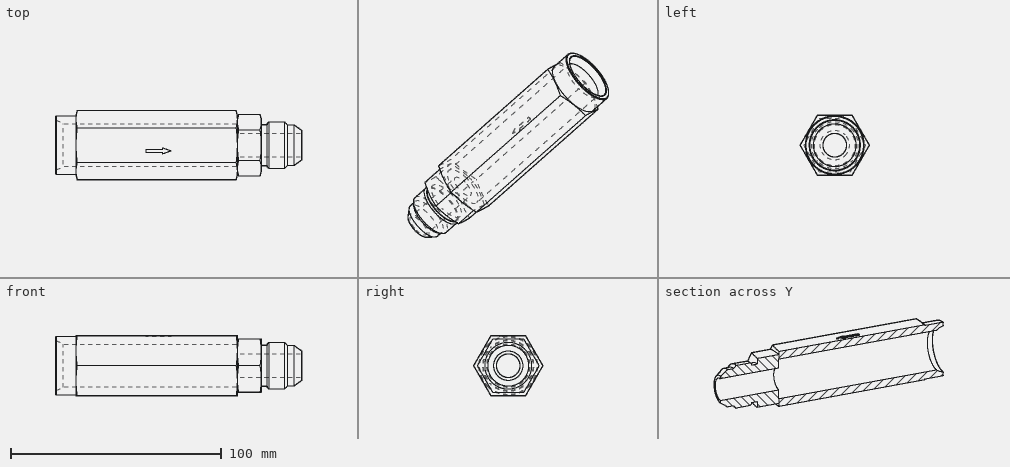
import cadquery as cq
import math


TOTAL_LENGTH = 116.8
COLLAR_END = 9.7
HOUSING_END = 86.2
NUT_END = 97.6
NECK_END = 100.4
THREAD_END = 108.5
NOSE_CONE_START = 113.1

HOUSING_ACROSS_CORNERS = 33.0
HOUSING_CHAMFER_DIAMETER = 28.3
COLLAR_DIAMETER = 27.9
COLLAR_CHAMFER = 0.4

PORT_MOUTH_DIAMETER = 24.3
PORT_CONE_DIAMETER = 23.6
PORT_MIDDLE_DIAMETER = 22.2
BORE_DIAMETER = 20.2
PORT_MOUTH_CHAMFER = 0.1
PORT_MIDDLE_DEPTH = 2.1
PORT_CONE_DEPTH = 3.6

ARROW_TAIL = 43.0
ARROW_SHOULDER = 50.8
ARROW_TIP = 54.8
ARROW_Y = -2.7
ARROW_SHAFT_WIDTH = 1.4
ARROW_HEAD_WIDTH = 2 * ARROW_SHAFT_WIDTH
ARROW_DEPTH = 0.4

NUT_ACROSS_CORNERS = 29.3
NUT_CHAMFER_DIAMETER = 25.1
NECK_DIAMETER = 19.6
THREAD_DIAMETER = 22.2
THREAD_CHAMFER = 0.8
NOSE_DIAMETER = 19.4
NOSE_TIP_DIAMETER = 13.9
FITTING_HOLE_DIAMETER = 11.1

HEX_CHAMFER_DEPTH = 0.6


def revolve_profile(points):
    """Solid of revolution about X; the (x, radius) points close along the axis."""
    closed = [(points[0][0], 0), *points, (points[-1][0], 0)]
    return cq.Workplane("XY").polyline(closed).close().revolve(360, (0, 0, 0), (1, 0, 0))


def chamfered_hex(start, end, across_corners, chamfer_diameter):
    """Hexagonal bar along X with flats facing +Z and -Z and conically turned ends."""
    corner_radius = across_corners / 2
    end_radius = chamfer_diameter / 2
    hexagon = (
        cq.Workplane("YZ", origin=(start, 0, 0))
        .polygon(6, across_corners)
        .extrude(end - start)
    )
    turned_ends = revolve_profile([
        (start, end_radius),
        (start + HEX_CHAMFER_DEPTH, corner_radius),
        (end - HEX_CHAMFER_DEPTH, corner_radius),
        (end, end_radius),
    ])
    return hexagon.intersect(turned_ends)


def make_collar():
    """Round inlet collar with a chamfered front rim."""
    radius = COLLAR_DIAMETER / 2
    return revolve_profile([
        (0, radius - COLLAR_CHAMFER),
        (COLLAR_CHAMFER, radius),
        (COLLAR_END, radius),
    ])


def make_inlet_bore():
    """Through bore that opens through two cones and a broken edge at the inlet face."""
    return revolve_profile([
        (0, PORT_MOUTH_DIAMETER / 2),
        (PORT_MOUTH_CHAMFER, PORT_CONE_DIAMETER / 2),
        (PORT_MIDDLE_DEPTH, PORT_MIDDLE_DIAMETER / 2),
        (PORT_CONE_DEPTH, BORE_DIAMETER / 2),
        (HOUSING_END, BORE_DIAMETER / 2),
    ])


def make_flow_arrow():
    """Arrow pointing to +X that fills the recess in the top flat."""
    top_flat_z = HOUSING_ACROSS_CORNERS / 2 * math.cos(math.radians(30))
    shaft = ARROW_SHAFT_WIDTH / 2
    head = ARROW_HEAD_WIDTH / 2
    outline = [
        (ARROW_TAIL, -shaft),
        (ARROW_SHOULDER, -shaft),
        (ARROW_SHOULDER, -head),
        (ARROW_TIP, 0),
        (ARROW_SHOULDER, head),
        (ARROW_SHOULDER, shaft),
        (ARROW_TAIL, shaft),
    ]
    return (
        cq.Workplane("XY", origin=(0, ARROW_Y, top_flat_z))
        .polyline(outline)
        .close()
        .extrude(-ARROW_DEPTH)
    )


def make_housing():
    """Collar and long hexagon in one piece, bored through."""
    hexagon = chamfered_hex(
        COLLAR_END, HOUSING_END, HOUSING_ACROSS_CORNERS, HOUSING_CHAMFER_DIAMETER
    )
    return make_collar().union(hexagon).cut(make_inlet_bore()).cut(make_flow_arrow())


def make_stud():
    """Turned stud: neck, chamfered thread, then a cylindrical and conical nose."""
    neck = NECK_DIAMETER / 2
    thread = THREAD_DIAMETER / 2
    nose = NOSE_DIAMETER / 2
    thread_runout_end = THREAD_END + thread - nose
    return revolve_profile([
        (NUT_END, neck),
        (NECK_END, neck),
        (NECK_END, thread - THREAD_CHAMFER),
        (NECK_END + THREAD_CHAMFER, thread),
        (THREAD_END, thread),
        (thread_runout_end, nose),
        (NOSE_CONE_START, nose),
        (TOTAL_LENGTH, NOSE_TIP_DIAMETER / 2),
    ])


def make_fitting():
    """Short hexagon seated on the housing end, with its stud and a through hole."""
    nut = chamfered_hex(HOUSING_END, NUT_END, NUT_ACROSS_CORNERS, NUT_CHAMFER_DIAMETER)
    hole_radius = FITTING_HOLE_DIAMETER / 2
    hole = revolve_profile([(HOUSING_END, hole_radius), (TOTAL_LENGTH, hole_radius)])
    return nut.union(make_stud()).cut(hole)


housing = make_housing()
fitting = make_fitting()

result = cq.Compound.makeCompound([housing.val(), fitting.val()])